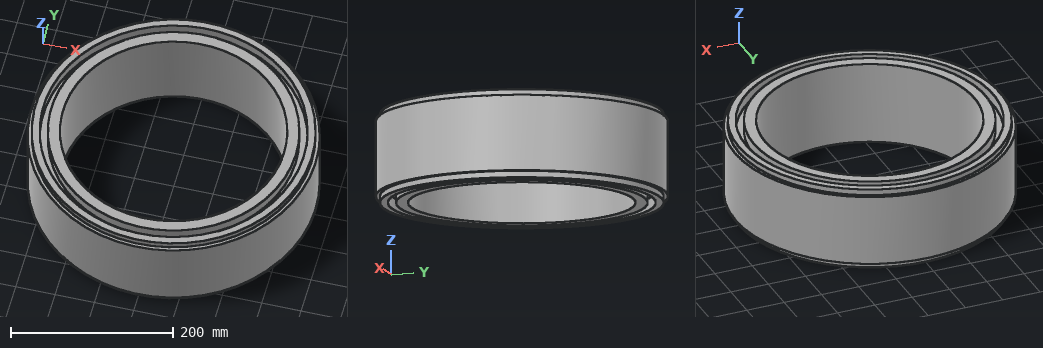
import cadquery as cq

outer_diameter = 360.0
bore_diameter = 280.0
height = 110.0

shoulder_diameter = 350.0
shoulder_height = 8.0

groove_outer_diameter = 330.0
groove_inner_diameter = 310.0
groove_depth = 15.0


def ring(outer, inner, bottom, thickness):
    """Plain ring about the Z axis, from the given bottom height upwards."""
    return (
        cq.Workplane("XY")
        .workplane(offset=bottom)
        .circle(outer / 2)
        .circle(inner / 2)
        .extrude(thickness)
    )


bottom_face = -height / 2
band_height = height - 2 * shoulder_height
body = ring(shoulder_diameter, bore_diameter, bottom_face, height)
band = ring(outer_diameter, bore_diameter, -band_height / 2, band_height)
result = body.union(band)

for groove_bottom in (bottom_face, height / 2 - groove_depth):
    groove = ring(groove_outer_diameter, groove_inner_diameter, groove_bottom, groove_depth)
    result = result.cut(groove)